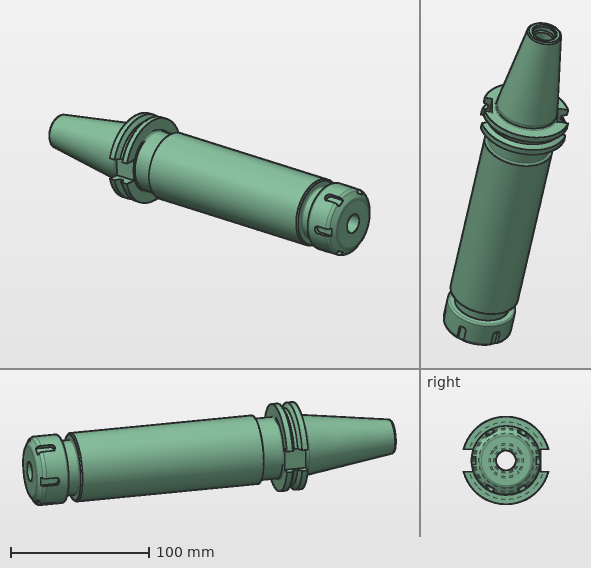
import cadquery as cq
import math

TOTAL_LENGTH = 271.5

TAPER_RATIO = 7 / 24
TAPER_LARGE_DIA = 44.5
TAPER_END = 68.1
TAPER_EDGE_CHAMFER = 1.0

FLANGE_DIA = 63.5
FLANGE_START = 71.5
FLANGE_END = 87.1
GROOVE_CENTRE = 79.3
GROOVE_WIDTH = 7.0
GROOVE_BOTTOM_DIA = 56.0
GROOVE_HALF_ANGLE = 30.0

SLOT_WIDTH = 16.0
FRONT_SLOT_FLOOR = 22.5
BACK_SLOT_FLOOR = 25.0

CORNER_FILLET = 0.8

NECK_DIA = 44.8
BODY_DIA = 50.0
BODY_START = 103.0
BODY_END = 239.7
BODY_CHAMFER = 1.0
SPIGOT_DIA = 40.0
SPIGOT_ROOT_DIA = 41.0

BORE_DIA = 14.0
COUNTERBORE_DIA = 16.3
COUNTERBORE_DEPTH = 4.3
COUNTERBORE_MOUTH_DIA = 18.2

NUT_DIA = 50.0
NUT_START = 248.7
NUT_REAR_RADIUS = 1.4
NUT_FACE_DIA = 36.0
NUT_FACE_RADIUS = 2.2
NUT_CONE_ANGLE = 57.0
NUT_EDGE_RADIUS = 3.0

WRENCH_SLOT_COUNT = 6
WRENCH_SLOT_WIDTH = 5.7
WRENCH_SLOT_START = 256.0
WRENCH_SLOT_FLOOR = 22.0


def revolve_about_x(profile):
    """Turn a closed profile drawn in the XY plane about the X axis."""
    return profile.close().revolve(360, (0, 0, 0), (1, 0, 0))


def make_holder_bore():
    """Cutter for the through bore with its chamfered counterbore; both cones run at 45 degrees."""
    bore_radius = BORE_DIA / 2
    counterbore_radius = COUNTERBORE_DIA / 2
    mouth_radius = COUNTERBORE_MOUTH_DIA / 2
    profile = (
        cq.Workplane("XY")
        .moveTo(0, 0)
        .lineTo(0, mouth_radius)
        .lineTo(mouth_radius - counterbore_radius, counterbore_radius)
        .lineTo(COUNTERBORE_DEPTH, counterbore_radius)
        .lineTo(COUNTERBORE_DEPTH + counterbore_radius - bore_radius, bore_radius)
        .lineTo(NUT_START, bore_radius)
        .lineTo(NUT_START, 0)
    )
    return revolve_about_x(profile)


def make_shank():
    """Turned outside of the holder: taper, flange, neck, body and spigot."""
    taper_small_radius = (TAPER_LARGE_DIA - TAPER_RATIO * (TAPER_END - TAPER_EDGE_CHAMFER)) / 2
    flange_radius = FLANGE_DIA / 2
    groove_radius = GROOVE_BOTTOM_DIA / 2
    groove_half_top = GROOVE_WIDTH / 2
    groove_depth = flange_radius - groove_radius
    groove_half_bottom = groove_half_top - groove_depth * math.tan(math.radians(GROOVE_HALF_ANGLE))
    spigot_fillet = (SPIGOT_ROOT_DIA - SPIGOT_DIA) / 2
    profile = (
        cq.Workplane("XY")
        .moveTo(0, 0)
        .lineTo(0, taper_small_radius - TAPER_EDGE_CHAMFER)
        .lineTo(TAPER_EDGE_CHAMFER, taper_small_radius)
        .lineTo(TAPER_END, TAPER_LARGE_DIA / 2)
        .lineTo(FLANGE_START - CORNER_FILLET, TAPER_LARGE_DIA / 2)
        .radiusArc((FLANGE_START, TAPER_LARGE_DIA / 2 + CORNER_FILLET), -CORNER_FILLET)
        .lineTo(FLANGE_START, flange_radius)
        .lineTo(GROOVE_CENTRE - groove_half_top, flange_radius)
        .lineTo(GROOVE_CENTRE - groove_half_bottom, groove_radius)
        .lineTo(GROOVE_CENTRE + groove_half_bottom, groove_radius)
        .lineTo(GROOVE_CENTRE + groove_half_top, flange_radius)
        .lineTo(FLANGE_END, flange_radius)
        .lineTo(FLANGE_END, NECK_DIA / 2 + CORNER_FILLET)
        .radiusArc((FLANGE_END + CORNER_FILLET, NECK_DIA / 2), -CORNER_FILLET)
        .lineTo(BODY_START - CORNER_FILLET, NECK_DIA / 2)
        .radiusArc((BODY_START, NECK_DIA / 2 + CORNER_FILLET), -CORNER_FILLET)
        .lineTo(BODY_START, BODY_DIA / 2)
        .lineTo(BODY_END - BODY_CHAMFER, BODY_DIA / 2)
        .lineTo(BODY_END, BODY_DIA / 2 - BODY_CHAMFER)
        .lineTo(BODY_END, SPIGOT_ROOT_DIA / 2)
        .radiusArc((BODY_END + spigot_fillet, SPIGOT_DIA / 2), -spigot_fillet)
        .lineTo(NUT_START, SPIGOT_DIA / 2)
        .lineTo(NUT_START, 0)
    )
    return revolve_about_x(profile)


def make_drive_slot(floor, side):
    """Cutter for one drive slot; side is +1 for +Y and -1 for -Y."""
    depth = FLANGE_DIA / 2 - floor
    centre = ((FLANGE_START + FLANGE_END) / 2, side * (floor + depth / 2), 0)
    return cq.Workplane("XY", origin=centre).box(FLANGE_END - FLANGE_START, depth, SLOT_WIDTH)


def make_holder():
    holder = make_shank()
    holder = holder.cut(make_drive_slot(FRONT_SLOT_FLOOR, -1))
    holder = holder.cut(make_drive_slot(BACK_SLOT_FLOOR, 1))
    return holder.cut(make_holder_bore())


def make_nut_blank():
    """Turned nut; arcs blend the cone into the outside and into the face."""
    angle = math.radians(NUT_CONE_ANGLE)
    nut_radius = NUT_DIA / 2
    face_radius = NUT_FACE_DIA / 2
    cone_large_radius = nut_radius - NUT_EDGE_RADIUS * (1 - math.cos(angle))
    cone_small_radius = face_radius + NUT_FACE_RADIUS * math.cos(angle)
    cone_end = TOTAL_LENGTH - NUT_FACE_RADIUS * (1 - math.sin(angle))
    cone_start = cone_end - (cone_large_radius - cone_small_radius) / math.tan(angle)
    outside_end = cone_start - NUT_EDGE_RADIUS * math.sin(angle)
    profile = (
        cq.Workplane("XY")
        .moveTo(NUT_START, BORE_DIA / 2)
        .lineTo(NUT_START, nut_radius - NUT_REAR_RADIUS)
        .radiusArc((NUT_START + NUT_REAR_RADIUS, nut_radius), NUT_REAR_RADIUS)
        .lineTo(outside_end, nut_radius)
        .radiusArc((cone_start, cone_large_radius), NUT_EDGE_RADIUS)
        .lineTo(cone_end, cone_small_radius)
        .radiusArc((TOTAL_LENGTH, face_radius), NUT_FACE_RADIUS)
        .lineTo(TOTAL_LENGTH, BORE_DIA / 2)
    )
    return revolve_about_x(profile)


def make_wrench_slot():
    """Cutter for the -Y wrench slot: round at its closed end, open at the nut's face."""
    radius = WRENCH_SLOT_WIDTH / 2
    return (
        cq.Workplane("XZ", origin=(0, -WRENCH_SLOT_FLOOR, 0))
        .moveTo(TOTAL_LENGTH, -radius)
        .lineTo(WRENCH_SLOT_START + radius, -radius)
        .threePointArc((WRENCH_SLOT_START, 0), (WRENCH_SLOT_START + radius, radius))
        .lineTo(TOTAL_LENGTH, radius)
        .close()
        .extrude(NUT_DIA / 2)
    )


def make_nut():
    nut = make_nut_blank()
    wrench_slot = make_wrench_slot()
    for index in range(WRENCH_SLOT_COUNT):
        turn = 360 / WRENCH_SLOT_COUNT * index
        nut = nut.cut(wrench_slot.rotate((0, 0, 0), (1, 0, 0), turn))
    return nut


holder = make_holder()
nut = make_nut()

result = cq.Compound.makeCompound([holder.solids().val(), nut.solids().val()])